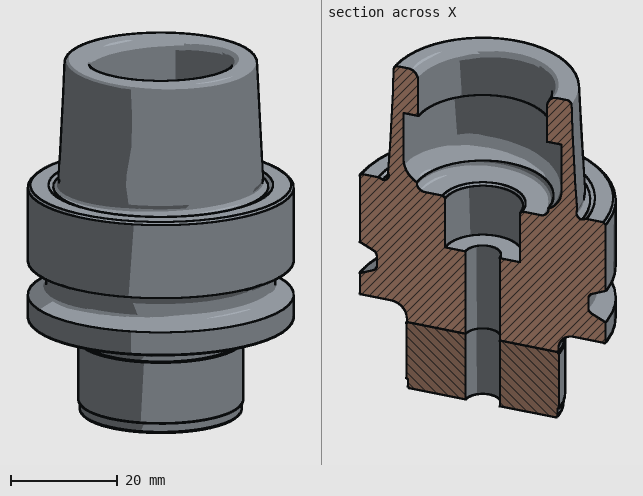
import cadquery as cq
import math

TOTAL_HEIGHT = 68.9
SPLIT_Z = 14.1
FLANGE_BOTTOM_Z = 18.1
GROOVE_Z = 26.05
FLANGE_TOP_Z = 44.15
TAPER_BOTTOM_Z = 45.7

FLANGE_DIAMETER = 49.95
FLANGE_RADIUS = FLANGE_DIAMETER / 2
FLANGE_TOP_CHAMFER = 0.5
FLANGE_BOTTOM_CHAMFER = 0.2
GROOVE_FLOOR_RADIUS = 21.5
GROOVE_MOUTH = 6.7
GROOVE_FLOOR = 3.6
GROOVE_FILLET = 1.0

NECK_RADIUS = 15.4
NECK_FILLET = 3.1

TAPER_BOTTOM_RADIUS = 19.2
TAPER_SLOPE = 0.05
TAPER_TOP_RADIUS = TAPER_BOTTOM_RADIUS - TAPER_SLOPE * (TOTAL_HEIGHT - TAPER_BOTTOM_Z)
TAPER_TOP_FILLET = 1.0
RELIEF_RADIUS = 19.1
RELIEF_TOP_Z = 45.0
RELIEF_FILLET = 1.1
RELIEF_FLOOR_Z = 43.8
RELIEF_RIM_RADIUS = 21.1

BORE_RADIUS = 13.0
BORE_BOTTOM_Z = 59.0
LIP_FILLET = 1.8
LIP_LAND = 0.4
LIP_LAND_ANGLE = 60
CAVITY_RADIUS = 16.0
CAVITY_FILLET = 4.95
CAVITY_FILLET_Z = 49.1
RECESS_RADIUS = 13.3
RECESS_FILLET = 1.5
RECESS_DEPTH = 1.7

THREAD_BORE_RADIUS = 7.6
THREAD_BORE_CHAMFER = 0.5
THREAD_BORE_DEPTH = 11.0
COOLANT_RADIUS = 3.45

SLEEVE_RADIUS = 15.5
SLEEVE_TOP_CHAMFER = 0.2
SLEEVE_TIP_RADIUS = 15.2
SLEEVE_STEP_Z = 2.15
SLEEVE_STEP_CHAMFER = 0.2
SLEEVE_TIP_CHAMFER = 0.35

UP = 90
UP_INWARD = 135
INWARD = 180
DOWN_INWARD = 225
DOWN_OUTWARD = -45

COINCIDENT = 0.01


def revolve(profile):
    """Turn a closed profile, drawn as (radius, Z), about the Z axis."""
    return profile.close().revolve(360, (0, 0, 0), (0, 1, 0))


def on_circle(center, radius, degrees):
    """The (radius, Z) point of an arc, its angle measured upward from the outward direction."""
    angle = math.radians(degrees)
    return center[0] + radius * math.cos(angle), center[1] + radius * math.sin(angle)


def circle_edges(body, radius, z):
    """The full-circle edges of one radius at one level."""
    box_low = (-COINCIDENT, -COINCIDENT, z - COINCIDENT)
    box_high = (COINCIDENT, COINCIDENT, z + COINCIDENT)
    level_edges = body.edges(cq.selectors.BoxSelector(box_low, box_high))
    return level_edges.filter(lambda edge: abs(edge.radius() - radius) < COINCIDENT)


def holder_blank():
    """Solid holder outline: neck, flange, relief and taper shank."""
    relief_center = (RELIEF_RADIUS + RELIEF_FILLET, RELIEF_FLOOR_Z + RELIEF_FILLET)
    neck_center = (NECK_RADIUS + NECK_FILLET, FLANGE_BOTTOM_Z - NECK_FILLET)
    return revolve(
        cq.Workplane("XZ")
        .moveTo(0, SPLIT_Z)
        .lineTo(NECK_RADIUS, SPLIT_Z)
        .lineTo(NECK_RADIUS, neck_center[1])
        .threePointArc(on_circle(neck_center, NECK_FILLET, UP_INWARD), (neck_center[0], FLANGE_BOTTOM_Z))
        .lineTo(FLANGE_RADIUS - FLANGE_BOTTOM_CHAMFER, FLANGE_BOTTOM_Z)
        .lineTo(FLANGE_RADIUS, FLANGE_BOTTOM_Z + FLANGE_BOTTOM_CHAMFER)
        .lineTo(FLANGE_RADIUS, FLANGE_TOP_Z - FLANGE_TOP_CHAMFER)
        .lineTo(FLANGE_RADIUS - FLANGE_TOP_CHAMFER, FLANGE_TOP_Z)
        .lineTo(RELIEF_RIM_RADIUS, FLANGE_TOP_Z)
        .lineTo(relief_center[0], RELIEF_FLOOR_Z)
        .threePointArc(
            on_circle(relief_center, RELIEF_FILLET, DOWN_INWARD),
            (RELIEF_RADIUS, relief_center[1]),
        )
        .lineTo(RELIEF_RADIUS, RELIEF_TOP_Z)
        .lineTo(TAPER_BOTTOM_RADIUS, TAPER_BOTTOM_Z)
        .lineTo(TAPER_TOP_RADIUS, TOTAL_HEIGHT)
        .lineTo(0, TOTAL_HEIGHT)
    )


def cut_groove(body):
    """V-flanked gripper groove around the flange, its floor corners filleted."""
    low_z = GROOVE_Z - GROOVE_FLOOR / 2
    high_z = GROOVE_Z + GROOVE_FLOOR / 2
    groove = revolve(
        cq.Workplane("XZ")
        .moveTo(GROOVE_FLOOR_RADIUS, low_z)
        .lineTo(FLANGE_RADIUS, GROOVE_Z - GROOVE_MOUTH / 2)
        .lineTo(FLANGE_RADIUS, GROOVE_Z + GROOVE_MOUTH / 2)
        .lineTo(GROOVE_FLOOR_RADIUS, high_z)
    )
    body = body.cut(groove)
    body = circle_edges(body, GROOVE_FLOOR_RADIUS, low_z).fillet(GROOVE_FILLET)
    return circle_edges(body, GROOVE_FLOOR_RADIUS, high_z).fillet(GROOVE_FILLET)


def clamping_bore():
    """Rounded lip, short guide bore, wider cavity and the stepped bores below it."""
    land_run = LIP_LAND * math.cos(math.radians(LIP_LAND_ANGLE))
    land_drop = LIP_LAND * math.sin(math.radians(LIP_LAND_ANGLE))
    upper_lip = (BORE_RADIUS + land_run + LIP_FILLET, TOTAL_HEIGHT - LIP_FILLET)
    lower_lip = (upper_lip[0] - land_run, upper_lip[1] - land_drop)
    land_degrees = UP + LIP_LAND_ANGLE

    cavity_center = (CAVITY_RADIUS - CAVITY_FILLET, CAVITY_FILLET_Z)
    cavity_end = -math.degrees(math.acos((RECESS_RADIUS - cavity_center[0]) / CAVITY_FILLET))
    recess_rim = on_circle(cavity_center, CAVITY_FILLET, cavity_end)
    floor_z = recess_rim[1] - RECESS_DEPTH
    recess_center = (RECESS_RADIUS - RECESS_FILLET, floor_z + RECESS_FILLET)

    thread_bore_z = floor_z - THREAD_BORE_DEPTH
    return revolve(
        cq.Workplane("XZ")
        .moveTo(0, TOTAL_HEIGHT)
        .lineTo(upper_lip[0], TOTAL_HEIGHT)
        .threePointArc(
            on_circle(upper_lip, LIP_FILLET, (UP + land_degrees) / 2),
            on_circle(upper_lip, LIP_FILLET, land_degrees),
        )
        .lineTo(*on_circle(lower_lip, LIP_FILLET, land_degrees))
        .threePointArc(
            on_circle(lower_lip, LIP_FILLET, (land_degrees + INWARD) / 2),
            (BORE_RADIUS, lower_lip[1]),
        )
        .lineTo(BORE_RADIUS, BORE_BOTTOM_Z)
        .lineTo(CAVITY_RADIUS, BORE_BOTTOM_Z)
        .lineTo(CAVITY_RADIUS, CAVITY_FILLET_Z)
        .threePointArc(on_circle(cavity_center, CAVITY_FILLET, cavity_end / 2), recess_rim)
        .lineTo(RECESS_RADIUS, recess_center[1])
        .threePointArc(
            on_circle(recess_center, RECESS_FILLET, DOWN_OUTWARD),
            (recess_center[0], floor_z),
        )
        .lineTo(THREAD_BORE_RADIUS + THREAD_BORE_CHAMFER, floor_z)
        .lineTo(THREAD_BORE_RADIUS, floor_z - THREAD_BORE_CHAMFER)
        .lineTo(THREAD_BORE_RADIUS, thread_bore_z)
        .lineTo(COOLANT_RADIUS, thread_bore_z)
        .lineTo(COOLANT_RADIUS, SPLIT_Z)
        .lineTo(0, SPLIT_Z)
    )


def make_holder():
    """Flanged taper-shank holder with its gripper groove and bores."""
    body = cut_groove(holder_blank())
    body = circle_edges(body, TAPER_TOP_RADIUS, TOTAL_HEIGHT).fillet(TAPER_TOP_FILLET)
    return body.cut(clamping_bore())


def make_sleeve():
    """Nose sleeve under the holder, stepped in at its tip, with the coolant bore through it."""
    return revolve(
        cq.Workplane("XZ")
        .moveTo(COOLANT_RADIUS, 0)
        .lineTo(SLEEVE_TIP_RADIUS - SLEEVE_TIP_CHAMFER, 0)
        .lineTo(SLEEVE_TIP_RADIUS, SLEEVE_TIP_CHAMFER)
        .lineTo(SLEEVE_TIP_RADIUS, SLEEVE_STEP_Z - SLEEVE_STEP_CHAMFER)
        .lineTo(SLEEVE_RADIUS, SLEEVE_STEP_Z)
        .lineTo(SLEEVE_RADIUS, SPLIT_Z - SLEEVE_TOP_CHAMFER)
        .lineTo(SLEEVE_RADIUS - SLEEVE_TOP_CHAMFER, SPLIT_Z)
        .lineTo(COOLANT_RADIUS, SPLIT_Z)
    )


holder = make_holder()
sleeve = make_sleeve()
result = cq.Compound.makeCompound([holder.val(), sleeve.val()])